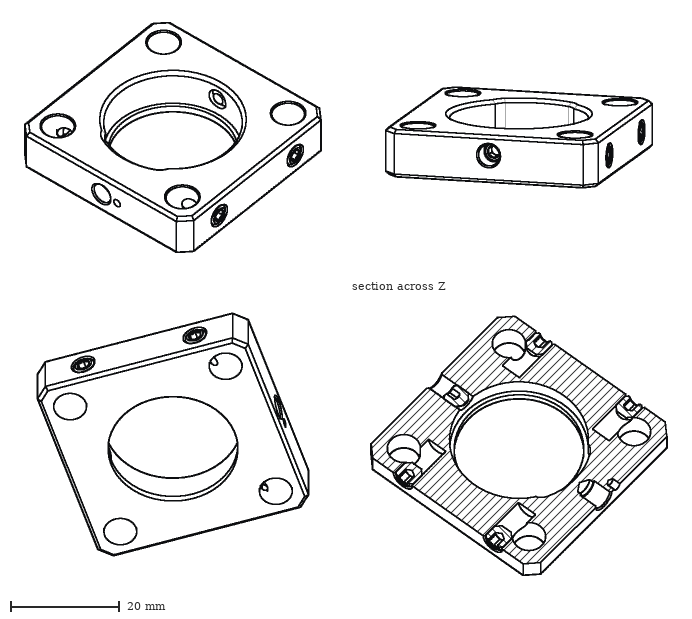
import cadquery as cq
import math

SIDE = 40.65
THICKNESS = 8.9
CORNER_CUT = 2.28
EDGE_CHAMFER = 0.65

BORE_RADIUS = 12.7
LIP_RADIUS = 11.9
LIP_THICKNESS = 1.42
BORE_CHAMFER = 0.75
BORE_CHAMFER_DEPTH = 0.7
RELIEF_RADIUS = 13.35
RELIEF_HALF_ANGLE = math.radians(27)
RELIEF_CORNER_RADIUS = 3.0

ROD_OFFSET = 15.0
ROD_RADIUS = 3.0
ROD_CHAMFER = 0.25

THREAD_RADIUS = 2.0
TAP_DRILL_RADIUS = 1.65
COUNTERSINK = 0.3
DRILL_HALF_ANGLE = math.radians(59)
CLAMP_OFFSET = 10.75
CLAMP_HOLE_DEPTH = 9.75
MOUNT_THREAD_DEPTH = 4.0
MOUNT_DRILL_DEPTH = 4.8

PIN_HOLE_OFFSET = 3.78
PIN_HOLE_RADIUS = 0.77
PIN_HOLE_DEPTH = 1.63

SCREW_LENGTH = 4.0
SCREW_HEAD_RADIUS = 1.6
SCREW_TIP_RADIUS = 1.15
SOCKET_FLATS = 2.0
SOCKET_MOUTH_RADIUS = 1.18
SOCKET_MOUTH_DEPTH = 0.2
SOCKET_DEPTH = 2.0
RETAINER_TIP_Y = 12.8

HALF_SIDE = SIDE / 2
TOP = THICKNESS / 2
SEAT_Z = LIP_THICKNESS - TOP
BORE_MID_Z = (SEAT_Z + TOP) / 2


def inward_plane(x, y, z, inward):
    """Plane at a point of a side face whose normal points into the plate."""
    return cq.Plane(origin=(x, y, z), xDir=(0, 0, 1), normal=inward)


def cone_depth(radius):
    return radius / math.tan(DRILL_HALF_ANGLE)


def revolved(plane, outline):
    """Solid of revolution about the plane's normal; outline holds (radius, depth) points."""
    profile_plane = cq.Plane(origin=plane.origin, xDir=plane.xDir, normal=-plane.yDir)
    return cq.Workplane(profile_plane).polyline(outline).close().revolve(360, (0, 0), (0, 1))


def threaded_hole(plane, depth):
    """Countersunk hole with a flat end."""
    return revolved(plane, [
        (0, 0),
        (THREAD_RADIUS + COUNTERSINK, 0),
        (THREAD_RADIUS, COUNTERSINK),
        (THREAD_RADIUS, depth),
        (0, depth),
    ])


def pointed_hole(plane, radius, depth):
    """Blind hole with a drill point beyond its full-width depth."""
    return revolved(plane, [
        (0, 0),
        (radius, 0),
        (radius, depth),
        (0, depth + cone_depth(radius)),
    ])


def set_screw(plane):
    """Headless screw starting at the plane, with a chamfered flat tip and a hexagon socket."""
    head_chamfer = THREAD_RADIUS - SCREW_HEAD_RADIUS
    tip_chamfer = THREAD_RADIUS - SCREW_TIP_RADIUS
    body = revolved(plane, [
        (0, 0),
        (SCREW_HEAD_RADIUS, 0),
        (THREAD_RADIUS, head_chamfer),
        (THREAD_RADIUS, SCREW_LENGTH - tip_chamfer),
        (SCREW_TIP_RADIUS, SCREW_LENGTH),
        (0, SCREW_LENGTH),
    ])
    across_corners = SOCKET_FLATS / math.cos(math.pi / 6)
    socket = cq.Workplane(plane).polygon(6, across_corners).extrude(SOCKET_DEPTH)
    socket_bore = pointed_hole(plane, SOCKET_FLATS / 2, SOCKET_DEPTH)
    socket_mouth = revolved(plane, [
        (0, 0),
        (SOCKET_MOUTH_RADIUS, 0),
        (SOCKET_FLATS / 2, SOCKET_MOUTH_DEPTH),
        (0, SOCKET_MOUTH_DEPTH),
    ])
    return body.cut(socket).cut(socket_bore).cut(socket_mouth)


def relief_outline(sketch, growth):
    """Relief outline enlarged by growth: a wide arc whose rounded ends turn back into the bore."""
    corner_distance = RELIEF_RADIUS - RELIEF_CORNER_RADIUS
    corner_x = corner_distance * math.sin(RELIEF_HALF_ANGLE)
    corner_y = -corner_distance * math.cos(RELIEF_HALF_ANGLE)
    end_radius = RELIEF_CORNER_RADIUS + growth

    def on_end(turn):
        """Point on the +X rounded end, turned on from where it meets the wide arc."""
        angle = RELIEF_HALF_ANGLE + turn
        return corner_x + end_radius * math.sin(angle), corner_y - end_radius * math.cos(angle)

    def mirrored(point):
        return -point[0], point[1]

    junction = on_end(0)
    middle = on_end(math.pi / 4)
    inside_bore = on_end(math.pi / 2)
    return (
        sketch.moveTo(*inside_bore)
        .threePointArc(middle, junction)
        .threePointArc((0, -RELIEF_RADIUS - growth), mirrored(junction))
        .threePointArc(mirrored(middle), mirrored(inside_bore))
        .close()
    )


def plate_blank():
    return (
        cq.Workplane("XY")
        .box(SIDE, SIDE, THICKNESS)
        .edges("|Z").chamfer(CORNER_CUT)
        .faces("<Z or >Z").edges().chamfer(EDGE_CHAMFER)
    )


def bore():
    """Stepped bore with its relief, both widened by one chamfer at the top face."""
    chamfer_z = TOP - BORE_CHAMFER_DEPTH
    opening = cq.Workplane("XY", origin=(0, 0, -TOP)).circle(LIP_RADIUS).extrude(THICKNESS)
    seat_plane = cq.Workplane("XY", origin=(0, 0, SEAT_Z))
    seat = seat_plane.circle(BORE_RADIUS).extrude(TOP - SEAT_Z)
    relief = relief_outline(seat_plane, 0).extrude(TOP - SEAT_Z)

    chamfer_plane = cq.Workplane("XY", origin=(0, 0, chamfer_z))
    seat_chamfer = (
        chamfer_plane.circle(BORE_RADIUS)
        .workplane(offset=BORE_CHAMFER_DEPTH).circle(BORE_RADIUS + BORE_CHAMFER)
        .loft(ruled=True)
    )
    relief_chamfer_top = relief_outline(chamfer_plane, 0).workplane(offset=BORE_CHAMFER_DEPTH)
    relief_chamfer = relief_outline(relief_chamfer_top, BORE_CHAMFER).loft(ruled=True)
    return [opening, seat, relief, seat_chamfer, relief_chamfer]


def rod_holes():
    rim_radius = ROD_RADIUS + ROD_CHAMFER
    outline = [
        (0, 0),
        (rim_radius, 0),
        (ROD_RADIUS, ROD_CHAMFER),
        (ROD_RADIUS, THICKNESS),
        (0, THICKNESS),
    ]
    return [
        revolved(cq.Plane(origin=(x, y, TOP), xDir=(1, 0, 0), normal=(0, 0, -1)), outline)
        for x in (-ROD_OFFSET, ROD_OFFSET)
        for y in (-ROD_OFFSET, ROD_OFFSET)
    ]


def clamp_planes():
    """Planes of the four clamp screws, on the -X and +X faces."""
    return [
        inward_plane(side * HALF_SIDE, y, 0, (-side, 0, 0))
        for side in (-1, 1)
        for y in (-CLAMP_OFFSET, CLAMP_OFFSET)
    ]


def make_housing():
    housing = plate_blank()
    for hole in bore() + rod_holes():
        housing = housing.cut(hole)
    for plane in clamp_planes():
        housing = housing.cut(threaded_hole(plane, CLAMP_HOLE_DEPTH))

    retainer_plane = inward_plane(0, HALF_SIDE, BORE_MID_Z, (0, -1, 0))
    housing = housing.cut(threaded_hole(retainer_plane, HALF_SIDE - LIP_RADIUS))

    mount_plane = inward_plane(0, -HALF_SIDE, 0, (0, 1, 0))
    housing = housing.cut(threaded_hole(mount_plane, MOUNT_THREAD_DEPTH))
    housing = housing.cut(pointed_hole(mount_plane, TAP_DRILL_RADIUS, MOUNT_DRILL_DEPTH))

    pin_plane = inward_plane(PIN_HOLE_OFFSET, -HALF_SIDE, 0, (0, 1, 0))
    return housing.cut(pointed_hole(pin_plane, PIN_HOLE_RADIUS, PIN_HOLE_DEPTH))


housing = make_housing()
clamp_screws = [set_screw(plane) for plane in clamp_planes()]
retainer_screw = set_screw(inward_plane(0, RETAINER_TIP_Y + SCREW_LENGTH, BORE_MID_Z, (0, -1, 0)))

result = cq.Compound.makeCompound([
    housing.val(),
    *[screw.val() for screw in clamp_screws],
    retainer_screw.val(),
])